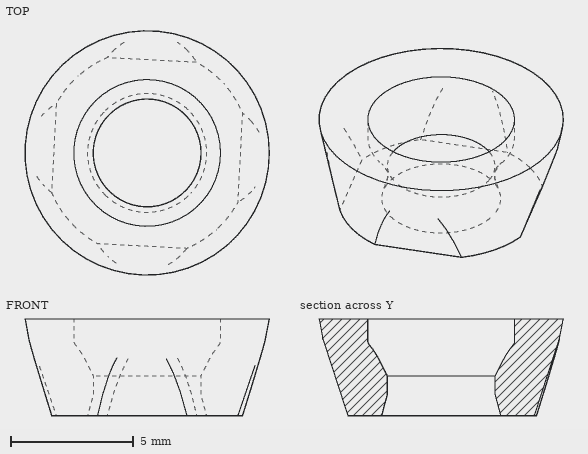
import cadquery as cq
import math

HEIGHT = 3.97
TOP_RADIUS = 5.0
RELIEF_ANGLE = 11.0
BOTTOM_RADIUS = TOP_RADIUS - HEIGHT * math.tan(math.radians(RELIEF_ANGLE))

FLAT_COUNT = 4
FLAT_ANGLE = 18.0
FLAT_BOTTOM_DISTANCE = 3.81
FLAT_TURN = -3.0
CUTTER_SIZE = 10.0

MOUTH_RADIUS = 3.0
MOUTH_DEPTH = 0.89
FILLET_END_RADIUS = 2.94
FILLET_END_DEPTH = 1.06
SEAT_END_RADIUS = 2.53
SEAT_END_DEPTH = 1.68
BORE_RADIUS = 2.2
BORE_START_DEPTH = 2.33
BORE_END_DEPTH = 3.1
FLARE_ANGLE = 15.0
FLARE_RADIUS = BORE_RADIUS + (HEIGHT - BORE_END_DEPTH) * math.tan(math.radians(FLARE_ANGLE))


def height_at(depth):
    """Z of a point the given depth below the top face."""
    return HEIGHT - depth


def make_body():
    profile = cq.Workplane("XZ").polyline(
        [(0, 0), (BOTTOM_RADIUS, 0), (TOP_RADIUS, HEIGHT), (0, HEIGHT)]
    ).close()
    return profile.revolve(360, (0, 0), (0, 1))


def make_flat_cutter(turn):
    """Block whose inner face is the flat, initially facing +X."""
    return (
        cq.Workplane("XY")
        .box(CUTTER_SIZE, CUTTER_SIZE, CUTTER_SIZE, centered=(False, True, True))
        .rotate((0, 0, 0), (0, 1, 0), FLAT_ANGLE)
        .translate((FLAT_BOTTOM_DISTANCE, 0, 0))
        .rotate((0, 0, 0), (0, 0, 1), turn)
    )


def make_screw_hole():
    """Revolved from the bottom flare up through the rounded seat to the mouth."""
    bore_start = (BORE_RADIUS, height_at(BORE_START_DEPTH))
    seat_end = (SEAT_END_RADIUS, height_at(SEAT_END_DEPTH))
    fillet_end = (FILLET_END_RADIUS, height_at(FILLET_END_DEPTH))
    mouth_bottom = (MOUTH_RADIUS, height_at(MOUTH_DEPTH))
    profile = (
        cq.Workplane("XZ")
        .lineTo(FLARE_RADIUS, 0)
        .lineTo(BORE_RADIUS, height_at(BORE_END_DEPTH))
        .lineTo(*bore_start)
        .lineTo(*seat_end)
        .tangentArcPoint(fillet_end, relative=False)
        .tangentArcPoint(mouth_bottom, relative=False)
        .lineTo(MOUTH_RADIUS, HEIGHT)
        .lineTo(0, HEIGHT)
        .close()
    )
    return profile.revolve(360, (0, 0), (0, 1))


result = make_body()
for index in range(FLAT_COUNT):
    result = result.cut(make_flat_cutter(FLAT_TURN + index * 360 / FLAT_COUNT))
result = result.cut(make_screw_hole())